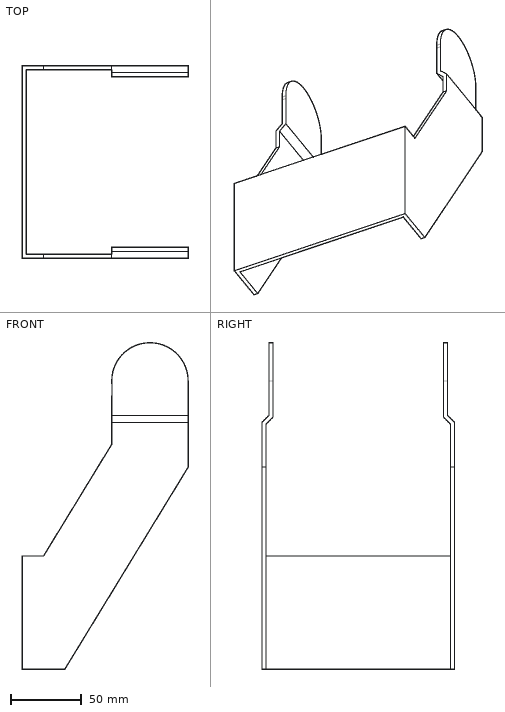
import cadquery as cq
import math

depth = 117.0
width = 136.0
height = 230.32

sheet = 3.0
base_height = 80.0

arm_width = 54.0
tip_radius = arm_width / 2
shoulder_length = 15.0
foot_length = 30.0
front_knee_z = 142.5
rear_blend_length = 2.4
rear_blend_inset = 0.1

joggle_offset = 5.0
joggle_z = 174.03
joggle_angle = 45.0


def arm_outline():
    """Side outline of the bracket, extruded across its full width.

    A short tangent arc below the round tip leads into a rear edge that leans back very slightly.
    """
    rear_x = depth - arm_width
    tip_z = height - tip_radius
    slope = front_knee_z / (depth - foot_length)
    rear_knee_z = base_height + slope * (rear_x - shoulder_length)
    return (
        cq.Workplane("XZ")
        .lineTo(foot_length, 0)
        .lineTo(depth, front_knee_z)
        .lineTo(depth, tip_z)
        .threePointArc((depth - tip_radius, height), (rear_x, tip_z))
        .tangentArcPoint((rear_blend_inset, -rear_blend_length))
        .lineTo(rear_x, rear_knee_z)
        .lineTo(shoulder_length, base_height)
        .lineTo(0, base_height)
        .close()
        .extrude(width / 2, both=True)
    )


def arm_sheet():
    """Joggled sheet of the +Y arm, running the full depth of the bracket."""
    outer_y = width / 2
    inner_y = outer_y - sheet
    joggle_rise = joggle_offset / math.tan(math.radians(joggle_angle))
    bend_shift = sheet * math.tan(math.radians(joggle_angle / 2))
    inner_joggle_z = joggle_z - bend_shift
    return (
        cq.Workplane("YZ")
        .moveTo(outer_y, 0)
        .lineTo(outer_y, joggle_z)
        .lineTo(outer_y - joggle_offset, joggle_z + joggle_rise)
        .lineTo(outer_y - joggle_offset, height)
        .lineTo(inner_y - joggle_offset, height)
        .lineTo(inner_y - joggle_offset, inner_joggle_z + joggle_rise)
        .lineTo(inner_y, inner_joggle_z)
        .lineTo(inner_y, 0)
        .close()
        .extrude(depth)
    )


def back_plate():
    """Flat plate joining the two arms at X = 0."""
    return cq.Workplane("XY").box(sheet, width, base_height, centered=(False, True, False))


arm = arm_outline().intersect(arm_sheet())
result = back_plate().union(arm).union(arm.mirror("XZ"))